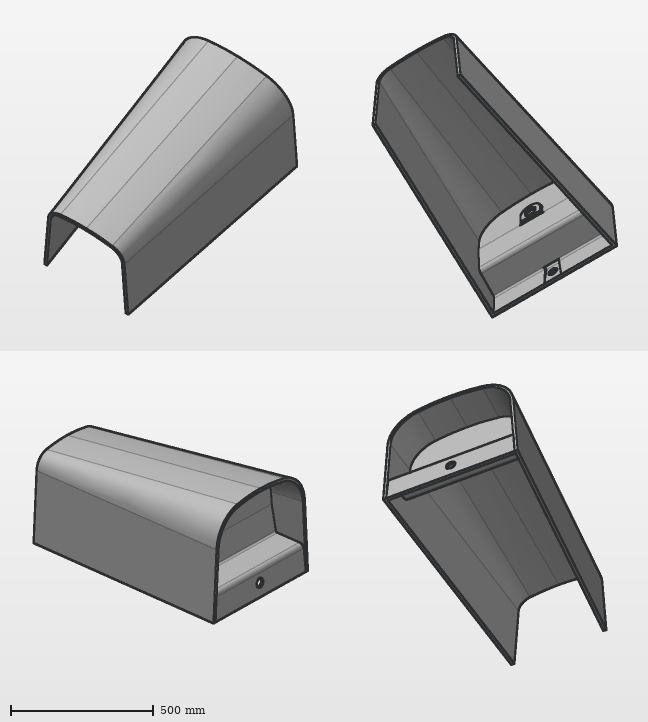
import cadquery as cq
import math

length = 880.0
rear_width = 524.81
rear_height = 429.9
end_taper = 5.0
side_draft = 3.4
crown_radius = 698.0
shoulder_radius = 144.0
wall = 12.0
front_inset = length * math.tan(math.radians(end_taper))

lower_draft = 3.0
ledge_draft = 7.0
middle_draft = 7.0
upper_draft = 1.0
ledge_rear_z = 100.0
ledge_front_z = 114.0
crease_z = 233.5
convex_radius = 20.0
concave_radius = convex_radius - wall

boss_radius = 44.0
boss_centre_z = 271.0
boss_height = 10.0
boss_taper = 14.0
boss_embed = wall / 2
skirt_half_width = 50.0
skirt_height = 1.2
blind_hole_diameter = 45.0
blind_hole_depth = 8.0

seat_mouth_half_width = 36.0
seat_top_half_width = 26.0
bolt_hole_diameter = 36.0
bolt_hole_z = 55.0


def sine(degrees):
    return math.sin(math.radians(degrees))


def cosine(degrees):
    return math.cos(math.radians(degrees))


def tangent(degrees):
    return math.tan(math.radians(degrees))


def mirrored(point):
    return (-point[0], point[1])


crown_centre_z = rear_height - crown_radius


def shoulder_centre():
    """Centre of the right-hand shoulder arc, as (x, z)."""
    start_x = rear_width / 2 - shoulder_radius * cosine(side_draft)
    start_z = -shoulder_radius * sine(side_draft)
    rise_from_crown = start_z - crown_centre_z
    along = rise_from_crown * cosine(side_draft) - start_x * sine(side_draft)
    distance_squared = start_x**2 + rise_from_crown**2
    gap = crown_radius - shoulder_radius
    travel = -along + math.sqrt(along**2 - distance_squared + gap**2)
    return (start_x - travel * sine(side_draft), start_z + travel * cosine(side_draft))


def arch_wire(y, inset):
    """Closed arch outline in the plane at y, moved inwards from the rear outline by inset."""
    centre_x, centre_z = shoulder_centre()
    shoulder = shoulder_radius - inset
    crown = crown_radius - inset
    blend_angle = math.degrees(math.atan2(centre_z - crown_centre_z, centre_x))

    def on_shoulder(angle):
        return (centre_x + shoulder * cosine(angle), centre_z + shoulder * sine(angle))

    def on_crown(angle):
        return (crown * cosine(angle), crown_centre_z + crown * sine(angle))

    foot = (rear_width / 2 - inset / cosine(side_draft), 0)
    side_top = on_shoulder(side_draft)
    shoulder_middle = on_shoulder((side_draft + blend_angle) / 2)
    shoulder_end = on_shoulder(blend_angle)
    crown_middle = on_crown((blend_angle + 90) / 2)
    apex = (0, rear_height - inset)
    return (
        cq.Workplane("XZ", origin=(0, y, 0))
        .moveTo(*foot)
        .lineTo(*side_top)
        .threePointArc(shoulder_middle, shoulder_end)
        .threePointArc(crown_middle, apex)
        .threePointArc(mirrored(crown_middle), mirrored(shoulder_end))
        .threePointArc(mirrored(shoulder_middle), mirrored(side_top))
        .lineTo(*mirrored(foot))
        .close()
        .val()
    )


def arch_body(inset):
    """Solid arch over the full length, inset from the outer skin."""
    front = arch_wire(0, front_inset + inset)
    rear = arch_wire(length, inset)
    return cq.Workplane(cq.Solid.makeLoft([front, rear], True))


foot_y = length - wall / cosine(lower_draft)
ledge_rear_y = foot_y - ledge_rear_z * tangent(lower_draft)
ledge_front_y = ledge_rear_y - (ledge_front_z - ledge_rear_z) / tangent(ledge_draft)
crease_y = ledge_front_y - (crease_z - ledge_front_z) * tangent(middle_draft)
upper_end_y = crease_y - (rear_height - crease_z) * tangent(upper_draft)


def offset_corners(corners, distance):
    """Inner corners of an open chain moved sideways by distance; the ends stay on their level."""
    normals = []
    for (y0, z0), (y1, z1) in zip(corners, corners[1:]):
        run = math.hypot(y1 - y0, z1 - z0)
        normals.append(((z1 - z0) / run, (y0 - y1) / run))
    moved = [(corners[0][0] + distance / normals[0][0], corners[0][1])]
    for corner, before, after in zip(corners[1:], normals, normals[1:]):
        reach = distance / (1 + before[0] * after[0] + before[1] * after[1])
        shift_y = reach * (before[0] + after[0])
        shift_z = reach * (before[1] + after[1])
        moved.append((corner[0] + shift_y, corner[1] + shift_z))
    moved.append((corners[-1][0] + distance / normals[-1][0], corners[-1][1]))
    return moved


def panel():
    """Stepped sheet, wider than the hood, with its two ledge bends rounded on both faces."""
    face = [
        (foot_y, 0),
        (ledge_rear_y, ledge_rear_z),
        (ledge_front_y, ledge_front_z),
        (crease_y, crease_z),
        (upper_end_y, rear_height),
    ]
    back = offset_corners(face, wall)
    sheet = cq.Workplane("YZ").polyline(face + back[::-1]).close().extrude(rear_width / 2, both=True)

    bends = [
        (face[1], concave_radius),
        (back[1], convex_radius),
        (face[2], convex_radius),
        (back[2], concave_radius),
    ]
    for (y, z), radius in bends:
        sheet = sheet.edges(cq.NearestToPointSelector((0, y, z))).fillet(radius)
    return sheet


def boss():
    """Tapered arch-topped pad standing on the upper panel, with shallow skirts beside it."""
    root_y = crease_y + boss_embed
    growth = boss_embed * tangent(boss_taper)
    root_radius = boss_radius + growth
    root_z = crease_z - growth
    pad = (
        cq.Workplane("XZ", origin=(0, root_y, 0))
        .moveTo(-root_radius, root_z)
        .lineTo(root_radius, root_z)
        .lineTo(root_radius, boss_centre_z)
        .threePointArc((0, boss_centre_z + root_radius), (-root_radius, boss_centre_z))
        .close()
        .extrude(boss_embed + boss_height, taper=boss_taper)
    )
    skirt = (
        cq.Workplane("XY", origin=(0, 0, crease_z))
        .polyline(
            [
                (-skirt_half_width, root_y),
                (skirt_half_width, root_y),
                (skirt_half_width, crease_y),
                (boss_radius, crease_y - skirt_height),
                (-boss_radius, crease_y - skirt_height),
                (-skirt_half_width, crease_y),
            ]
        )
        .close()
        .extrude(boss_centre_z - crease_z)
    )
    return pad.union(skirt)


def round_cutter(start_y, depth, z, diameter):
    """Cylinder running towards the rear from start_y."""
    return cq.Workplane("XZ", origin=(0, start_y, z)).circle(diameter / 2).extrude(-depth)


def seat_cutter():
    """Block that flattens the leaning lower panel to a vertical seat, rounded in under the ledge."""
    mouth_y = ledge_rear_y - concave_radius

    def section(y, top_half_width):
        return (
            cq.Workplane("XZ", origin=(0, y, 0))
            .polyline(
                [
                    (-seat_mouth_half_width, 0),
                    (seat_mouth_half_width, 0),
                    (top_half_width, ledge_rear_z),
                    (-top_half_width, ledge_rear_z),
                ]
            )
            .close()
            .val()
        )

    sections = [section(mouth_y, seat_mouth_half_width), section(foot_y, seat_top_half_width)]
    block = cq.Workplane(cq.Solid.makeLoft(sections, True))
    return block.edges(cq.NearestToPointSelector((0, foot_y, ledge_rear_z))).fillet(concave_radius)


shell = arch_body(0).cut(arch_body(wall))
fitted_panel = panel().union(boss()).intersect(arch_body(wall / 2))
result = (
    shell.union(fitted_panel)
    .cut(seat_cutter())
    .cut(round_cutter(ledge_rear_y, length - ledge_rear_y, bolt_hole_z, bolt_hole_diameter))
    .cut(round_cutter(crease_y - boss_height, blind_hole_depth, boss_centre_z, blind_hole_diameter))
)